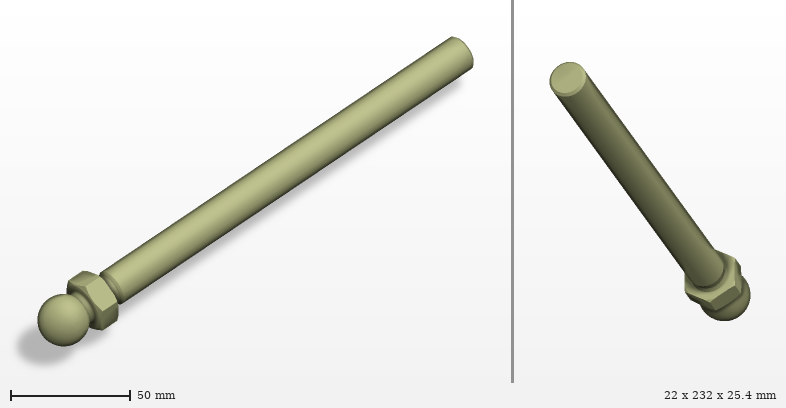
import cadquery as cq
import math

length = 232.0
ball_radius = 11.02
neck_radius = 7.5
neck_fillet = 0.7
hex_across_flats = 22.0
hex_front_from_tip = 21.8
hex_thickness = 10.0
hex_front_face_radius = 10.5
hex_rear_face_radius = 11.5
hex_chamfer_angle = 30.0
shaft_radius = 8.0
shaft_end_chamfer = 1.2
groove_radius = 7.0
groove_floor_width = 3.0
groove_taper_length = 1.5

tip_y = -length / 2
end_y = length / 2
ball_y = tip_y + ball_radius
hex_front_y = tip_y + hex_front_from_tip
hex_rear_y = hex_front_y + hex_thickness
groove_start_y = hex_rear_y + groove_taper_length
groove_end_y = groove_start_y + groove_floor_width


def revolve_about_y(profile):
    return profile.close().revolve(360, (0, 0, 0), (0, 1, 0))


def make_ball_and_neck():
    """Ball with a plain neck flaring into the front face of the hexagon."""
    ball = cq.Workplane("XY").sphere(ball_radius).translate((0, ball_y, 0))
    neck = revolve_about_y(
        cq.Workplane("XY")
        .moveTo(0, ball_y)
        .lineTo(neck_radius, ball_y)
        .lineTo(neck_radius, hex_front_y - neck_fillet)
        .radiusArc((neck_radius + neck_fillet, hex_front_y), neck_fillet)
        .lineTo(0, hex_front_y)
    )
    return ball.union(neck)


def make_hexagon():
    """Hexagon with corners at +Z and -Z, turned down conically at both faces."""
    across_corners = hex_across_flats / math.cos(math.pi / 6)
    corner_radius = across_corners / 2
    chamfer_slope = math.tan(math.radians(hex_chamfer_angle))
    front_chamfer_depth = (corner_radius - hex_front_face_radius) * chamfer_slope
    rear_chamfer_depth = (corner_radius - hex_rear_face_radius) * chamfer_slope
    prism = (
        cq.Workplane("XZ", origin=(0, hex_rear_y, 0))
        .transformed(rotate=(0, 0, 90))
        .polygon(6, across_corners)
        .extrude(hex_thickness)
    )
    turned_envelope = revolve_about_y(
        cq.Workplane("XY")
        .moveTo(0, hex_front_y)
        .lineTo(hex_front_face_radius, hex_front_y)
        .lineTo(corner_radius, hex_front_y + front_chamfer_depth)
        .lineTo(corner_radius, hex_rear_y - rear_chamfer_depth)
        .lineTo(hex_rear_face_radius, hex_rear_y)
        .lineTo(0, hex_rear_y)
    )
    return prism.intersect(turned_envelope)


def make_shaft():
    """Shaft with a relief groove behind the hexagon and a chamfered free end."""
    return revolve_about_y(
        cq.Workplane("XY")
        .moveTo(0, hex_rear_y)
        .lineTo(shaft_radius, hex_rear_y)
        .lineTo(groove_radius, groove_start_y)
        .lineTo(groove_radius, groove_end_y)
        .lineTo(shaft_radius, groove_end_y + groove_taper_length)
        .lineTo(shaft_radius, end_y - shaft_end_chamfer)
        .lineTo(shaft_radius - shaft_end_chamfer, end_y)
        .lineTo(0, end_y)
    )


result = make_ball_and_neck().union(make_hexagon()).union(make_shaft())